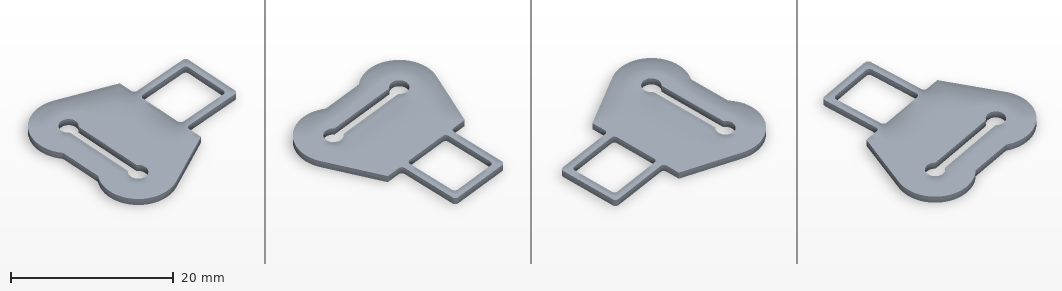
import cadquery as cq
import math

thickness = 1.0

lobe_x = 6.0
lobe_radius = 5.0
shoulder_half_width = 7.0
shoulder_y = 10.0
bottom_y = -4.0

end_hole_diameter = 2.5
slot_width = 1.5

loop_width = 9.0
loop_height = 9.0
loop_wall = 1.0
corner_radius = 0.5


def lobe_point(angle):
    """Point on the edge of the +X lobe at the given angle from +X."""
    return (lobe_x + lobe_radius * math.cos(angle), lobe_radius * math.sin(angle))


def mirrored(point):
    return (-point[0], point[1])


def make_body():
    corner = (shoulder_half_width, shoulder_y)
    corner_offset = shoulder_half_width - lobe_x
    corner_distance = math.hypot(corner_offset, shoulder_y)
    corner_angle = math.atan2(shoulder_y, corner_offset)
    tangent_angle = corner_angle - math.acos(lobe_radius / corner_distance)

    bottom_angle = -math.pi - math.asin(bottom_y / lobe_radius)
    flank_end = lobe_point(tangent_angle)
    lobe_middle = lobe_point((tangent_angle + bottom_angle) / 2)
    lobe_end = lobe_point(bottom_angle)

    return (
        cq.Workplane("XY")
        .moveTo(*mirrored(corner))
        .lineTo(*corner)
        .lineTo(*flank_end)
        .threePointArc(lobe_middle, lobe_end)
        .lineTo(*mirrored(lobe_end))
        .threePointArc(mirrored(lobe_middle), mirrored(flank_end))
        .close()
        .extrude(thickness)
    )


def add_loop(body):
    loop = (
        cq.Workplane("XY")
        .center(0, shoulder_y + loop_height / 2)
        .rect(loop_width, loop_height)
        .extrude(thickness)
        .edges("|Z and >Y")
        .fillet(corner_radius)
    )
    joined = body.union(loop)

    leg_roots = cq.selectors.BoxSelector(
        (-loop_width / 2 - corner_radius, shoulder_y - corner_radius, 0),
        (loop_width / 2 + corner_radius, shoulder_y + corner_radius, thickness),
    )
    return joined.edges("|Z").edges(leg_roots).fillet(corner_radius)


def make_loop_window():
    window_height = loop_height - loop_wall
    return (
        cq.Workplane("XY")
        .center(0, shoulder_y + window_height / 2)
        .rect(loop_width - 2 * loop_wall, window_height)
        .extrude(thickness)
        .edges("|Z")
        .fillet(corner_radius)
    )


def make_slot():
    end_holes = (
        cq.Workplane("XY")
        .pushPoints([(-lobe_x, 0), (lobe_x, 0)])
        .circle(end_hole_diameter / 2)
        .extrude(thickness)
    )
    channel = cq.Workplane("XY").rect(2 * lobe_x, slot_width).extrude(thickness)
    return end_holes.union(channel)


result = add_loop(make_body()).cut(make_loop_window()).cut(make_slot())